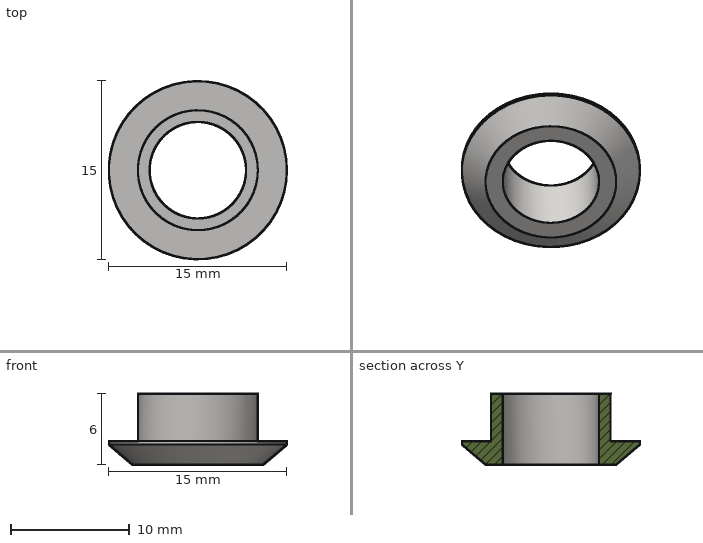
import cadquery as cq

total_height = 6.0
flange_diameter = 15.0
flange_base_diameter = 11.0
flange_height = 2.0
rim_height = 0.3
sleeve_diameter = 10.1
bore_diameter = 8.1

flange_radius = flange_diameter / 2
base_radius = flange_base_diameter / 2
sleeve_radius = sleeve_diameter / 2
bore_radius = bore_diameter / 2
rim_bottom = flange_height - rim_height

half_section = (
    cq.Workplane("XZ")
    .moveTo(bore_radius, 0)
    .lineTo(base_radius, 0)
    .lineTo(flange_radius, rim_bottom)
    .lineTo(flange_radius, flange_height)
    .lineTo(sleeve_radius, flange_height)
    .lineTo(sleeve_radius, total_height)
    .lineTo(bore_radius, total_height)
    .close()
)

result = half_section.revolve(360, (0, 0, 0), (0, 1, 0))